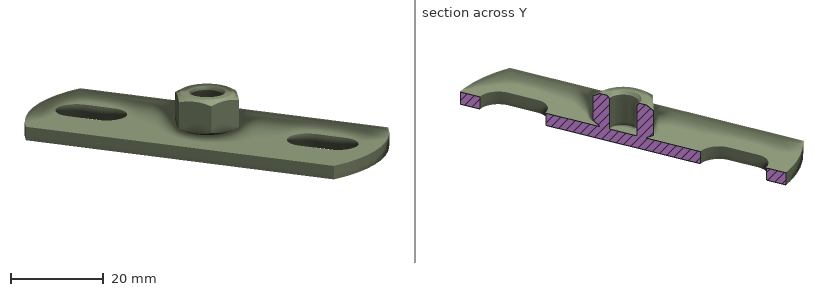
import cadquery as cq
import math

length = 80.0
width = 30.0
plate_thickness = 3.0
end_radius = width

slot_length = 16.0
slot_width = 9.0
slot_offset = 27.0

nut_height = 8.0
across_flats = 13.0
nut_face_diameter = 11.4
nut_chamfer_angle = 30.0
bore_diameter = 6.6
countersink_diameter = 8.0
countersink_angle = 90.0


def make_plate():
    """Flat plate with arc-shaped ends and a lengthwise slot near each end."""
    half_length = length / 2
    half_width = width / 2
    end_rise = end_radius - math.sqrt(end_radius**2 - half_width**2)
    corner_x = half_length - end_rise
    plate = (
        cq.Workplane("XY")
        .moveTo(-corner_x, -half_width)
        .lineTo(corner_x, -half_width)
        .threePointArc((half_length, 0), (corner_x, half_width))
        .lineTo(-corner_x, half_width)
        .threePointArc((-half_length, 0), (-corner_x, -half_width))
        .close()
        .extrude(plate_thickness)
    )
    slots = (
        cq.Workplane("XY")
        .pushPoints([(-slot_offset, 0), (slot_offset, 0)])
        .slot2D(slot_length, slot_width)
        .extrude(plate_thickness)
    )
    return plate.cut(slots)


def make_nut():
    """Hexagonal nut with conical chamfers on both faces, its base at Z = 0."""
    corner_radius = across_flats / math.sqrt(3)
    face_radius = nut_face_diameter / 2
    chamfer_drop = (corner_radius - face_radius) * math.tan(math.radians(nut_chamfer_angle))
    hexagon = cq.Workplane("XY").polygon(6, 2 * corner_radius).extrude(nut_height)
    envelope = (
        cq.Workplane("XZ")
        .moveTo(0, 0)
        .lineTo(face_radius, 0)
        .lineTo(corner_radius, chamfer_drop)
        .lineTo(corner_radius, nut_height - chamfer_drop)
        .lineTo(face_radius, nut_height)
        .lineTo(0, nut_height)
        .close()
        .revolve(360, (0, 0), (0, 1))
    )
    return (
        hexagon.intersect(envelope)
        .faces(">Z")
        .workplane()
        .cskHole(bore_diameter, countersink_diameter, countersink_angle)
    )


result = make_plate().union(make_nut().translate((0, 0, plate_thickness)))